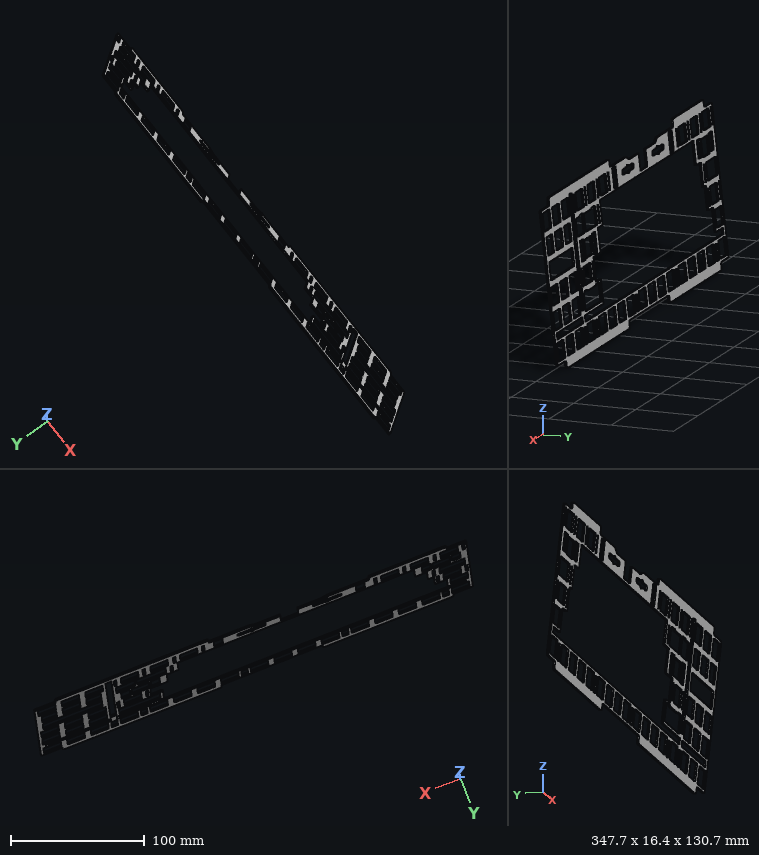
import cadquery as cq

UNIT = 19.05
COLUMNS = 18.25
ROWS = 6.25
THICKNESS = 1.5
TILT = 6.5
WIDTH = COLUMNS * UNIT
HEIGHT = ROWS * UNIT
GAP = 0.25

ROW_FUNCTION = 0.5
ROW_NUMBER = ROW_FUNCTION + 1 + GAP
ROW_Q = ROW_NUMBER + 1
ROW_A = ROW_Q + 1
ROW_Z = ROW_A + 1
ROW_MODIFIER = ROW_Z + 1

ALPHA_RIGHT = 15.0
NAV_LEFT = ALPHA_RIGHT + GAP
NAV_COLUMNS = [NAV_LEFT + 0.5 + i for i in range(3)]
NAV_INNER_LEFT = NAV_LEFT + GAP
NAV_INNER_RIGHT = COLUMNS - GAP
SPACEBAR = 7.5
WIDE_MODIFIERS = [0.75, 3.25, 11.75, 14.25]
NARROW_MODIFIERS = [2.0, 13.0]

FIRST_KEY = 0.5
TAB_KEY = 0.75
CAPS_KEY = 0.875
LEFT_SHIFT = 1.125
BACKSPACE = 14.0
SPLIT_BACKSPACE = [13.5, 14.5]
BACKSLASH = 14.25
ENTER = 13.875
RIGHT_SHIFT = 13.625
SHORT_RIGHT_SHIFT = 13.125
SHIFT_EXTRA_KEY = 14.5

FUNCTION_GROUPS = [1 + GAP, 5 + 2 * GAP, 9 + 3 * GAP]
GROUP_SIZE = 4
LAST_FUNCTION_KEY = ALPHA_RIGHT - 0.5

SWITCH = 14.0
SWITCH_HALF = SWITCH / 2 / UNIT
HOLE_RADIUS = 0.94
SLOT_RADIUS = 0.5
STABILIZER_WIDTH = 7.0
STABILIZER_HEIGHT = 14.0
STABILIZER_SHIFT = 0.9
TALL_STABILIZER_HEIGHT = 15.9
TALL_STABILIZER_SHIFT = 0.1
STABILIZER_SPREAD = 11.938
SPACEBAR_SPREAD = 3 * UNIT
RELIEF_WIDTH = 2.0
RELIEF_OFFSET = 0.608
GAP_SLOT_WIDTH = 5.0
GAP_SLOT_HEIGHT = 12.7

CAPS_HOLE_LEFT = 0.17
FUNCTION_TOP = 1.0
LONG_SLOT_BOTTOM = 1.5
LONG_SLOT_TOP = 6.2

TAB_HEIGHT = 6.135
TAB_RADIUS = 2.0
CORNER_RADIUS = 1.5
RECESS_DEPTH = 3.1
RECESS_HALF_TOP = 1.66 * UNIT
RECESS_HALF_FLOOR = 1.37 * UNIT
TOP_TABS = [(0.83, 4.11), (10.89, 17.35)]
BOTTOM_TABS = [(0.83, 6.35), (10.63, 17.35)]

MOUNT_OFFSET = 1.6 * UNIT
MOUNT_LENGTH = 23.0
MOUNT_WIDTH = 4.0
MOUNT_BULGE = 6.6

OPENING = [
    (2.25, 5.25), (2.25, 4.25), (1.75, 4.25), (1.75, 3.25), (1.5, 3.25), (1.5, 2.25),
    (1.0, 2.25), (1.0, 1.25), (0.25, 1.25), (0.25, 1.0), (15.0, 1.0), (15.0, 1.25),
    (13.0, 1.25), (13.0, 2.25), (13.5, 2.25), (13.5, 3.25), (12.75, 3.25), (12.75, 4.25),
    (12.25, 4.25), (12.25, 5.25),
]


def block(left, right, bottom, top, radius=SLOT_RADIUS):
    """Plate-thick rectangle with rounded corners, edges in mm."""
    solid = cq.Workplane("XY").rect(right - left, top - bottom).extrude(THICKNESS)
    solid = solid.edges("|Z").fillet(radius)
    return solid.translate(((left + right) / 2, (bottom + top) / 2, 0))


def window(left, right, row):
    """Switch-height cutout centred on a row between two key-unit positions."""
    middle = row * UNIT
    return block(left * UNIT, right * UNIT, middle - SWITCH / 2, middle + SWITCH / 2, HOLE_RADIUS)


def switch(column, row):
    return window(column - SWITCH_HALF, column + SWITCH_HALF, row)


def relief(column, row):
    half = RELIEF_WIDTH / 2 / UNIT
    return window(column - half, column + half, row)


def relief_pair(column, row):
    return [relief(column + side * RELIEF_OFFSET, row) for side in (-1, 1)]


def stabilizers(column, row, spread=STABILIZER_SPREAD, shift=STABILIZER_SHIFT, height=STABILIZER_HEIGHT):
    """Pair of stabilizer cutouts around a long key."""
    pair = []
    for side in (-1, 1):
        x = column * UNIT + side * spread
        y = row * UNIT + shift
        half = STABILIZER_WIDTH / 2
        pair.append(block(x - half, x + half, y - height / 2, y + height / 2))
    return pair


def gap_slot(column):
    """Slot between function-row groups, flush with the bottom of the switch holes."""
    bottom = ROW_FUNCTION * UNIT - SWITCH / 2
    half = GAP_SLOT_WIDTH / 2
    return block(column * UNIT - half, column * UNIT + half, bottom, bottom + GAP_SLOT_HEIGHT)


def mounting_slot(x):
    slot = cq.Workplane("XY").slot2D(MOUNT_LENGTH, MOUNT_WIDTH).extrude(THICKNESS)
    bulge = cq.Workplane("XY").circle(MOUNT_BULGE / 2).extrude(THICKNESS)
    return slot.union(bulge).translate((x, ROW_MODIFIER * UNIT, 0))


def tab(ends, base, height):
    """Outline points of one edge tab, from its first end to its second."""
    start, finish = ends[0] * UNIT, ends[1] * UNIT
    return [(start, base), (start, base + height), (finish, base + height), (finish, base)]


def body():
    """Outer outline, counter-clockwise: body, edge tabs and the recess above the space bar."""
    floor = HEIGHT - RECESS_DEPTH
    middle = SPACEBAR * UNIT
    points = [(0, 0)]
    for ends in BOTTOM_TABS:
        points += tab(ends, 0, -TAB_HEIGHT)
    points += [(WIDTH, 0), (WIDTH, HEIGHT)]
    left_tab, right_tab = TOP_TABS
    points += tab(right_tab[::-1], HEIGHT, TAB_HEIGHT)
    points += [(middle + RECESS_HALF_TOP, HEIGHT), (middle + RECESS_HALF_FLOOR, floor)]
    points += [(middle - RECESS_HALF_FLOOR, floor), (middle - RECESS_HALF_TOP, HEIGHT)]
    points += tab(left_tab[::-1], HEIGHT, TAB_HEIGHT)
    points.append((0, HEIGHT))
    outline = cq.Workplane("XY").polyline(points).close().extrude(THICKNESS)
    rounded = outline.edges("|Z and (<X or >X)").fillet(CORNER_RADIUS)
    margin = 2 * CORNER_RADIUS
    inboard = cq.selectors.BoxSelector((margin, -HEIGHT, 0), (WIDTH - margin, 2 * HEIGHT, THICKNESS))
    return rounded.edges(inboard).edges("|Z").fillet(TAB_RADIUS)


def central_opening():
    points = [(x * UNIT, y * UNIT) for x, y in OPENING]
    return cq.Workplane("XY").polyline(points).close().extrude(THICKNESS).edges("|Z").fillet(SLOT_RADIUS)


def function_row():
    columns = [FIRST_KEY, LAST_FUNCTION_KEY] + NAV_COLUMNS
    for start in FUNCTION_GROUPS:
        columns += [start + 0.5 + i for i in range(GROUP_SIZE)]
    cuts = [switch(column, ROW_FUNCTION) for column in columns]
    gap_ends = FUNCTION_GROUPS + [ALPHA_RIGHT - 1, NAV_LEFT]
    return cuts + [gap_slot(end - GAP / 2) for end in gap_ends]


def modifier_row():
    cuts = [switch(column, ROW_MODIFIER) for column in WIDE_MODIFIERS + NARROW_MODIFIERS + NAV_COLUMNS]
    for column in WIDE_MODIFIERS:
        cuts += relief_pair(column, ROW_MODIFIER)
    space_shift = -TALL_STABILIZER_SHIFT
    cuts += stabilizers(SPACEBAR, ROW_MODIFIER, SPACEBAR_SPREAD, space_shift, TALL_STABILIZER_HEIGHT)
    bottom = ROW_MODIFIER * UNIT - SWITCH / 2
    middle = SPACEBAR * UNIT
    cuts.append(block(middle - SWITCH / 2, middle + SWITCH / 2, bottom, HEIGHT + SWITCH, HOLE_RADIUS))
    cuts += [mounting_slot(middle + side * MOUNT_OFFSET) for side in (-1, 1)]
    return cuts


def left_keys():
    cuts = [switch(FIRST_KEY, ROW_NUMBER), switch(TAB_KEY, ROW_Q), switch(LEFT_SHIFT, ROW_Z)]
    cuts += relief_pair(TAB_KEY, ROW_Q)
    cuts.append(window(CAPS_HOLE_LEFT, CAPS_KEY + SWITCH_HALF, ROW_A))
    cuts.append(relief(CAPS_KEY + RELIEF_OFFSET, ROW_A))
    return cuts + stabilizers(LEFT_SHIFT, ROW_Z)


def right_keys():
    first, last = SPLIT_BACKSPACE
    cuts = [window(first - SWITCH_HALF, last + SWITCH_HALF, ROW_NUMBER)]
    cuts += stabilizers(BACKSPACE, ROW_NUMBER)
    cuts.append(switch(BACKSLASH, ROW_Q))
    cuts += relief_pair(BACKSLASH, ROW_Q)
    cuts.append(switch(ENTER, ROW_A))
    cuts += stabilizers(ENTER, ROW_A, STABILIZER_SPREAD, TALL_STABILIZER_SHIFT, TALL_STABILIZER_HEIGHT)
    cuts.append(window(SHORT_RIGHT_SHIFT - SWITCH_HALF, RIGHT_SHIFT + SWITCH_HALF, ROW_Z))
    cuts.append(switch(SHIFT_EXTRA_KEY, ROW_Z))
    cuts.append(relief(SHORT_RIGHT_SHIFT - RELIEF_OFFSET, ROW_Z))
    return cuts + stabilizers(RIGHT_SHIFT, ROW_Z)


def navigation_keys():
    left, centre, right = NAV_COLUMNS
    cuts = [switch(column, row) for row in (ROW_NUMBER, ROW_Q) for column in NAV_COLUMNS]
    cuts.append(window(NAV_INNER_LEFT, NAV_INNER_RIGHT, ROW_A))
    cuts.append(window(NAV_INNER_LEFT, left + SWITCH_HALF, ROW_Z))
    cuts.append(switch(centre, ROW_Z))
    cuts.append(window(right - SWITCH_HALF, NAV_INNER_RIGHT, ROW_Z))
    return cuts


def cluster_slots():
    """Slots that separate the navigation keys from the letters and from the function row."""
    across = block(NAV_LEFT * UNIT, NAV_INNER_RIGHT * UNIT, FUNCTION_TOP * UNIT, (FUNCTION_TOP + GAP) * UNIT)
    upright = block(ALPHA_RIGHT * UNIT, NAV_LEFT * UNIT, LONG_SLOT_BOTTOM * UNIT, LONG_SLOT_TOP * UNIT)
    return [across, upright]


plate = body().cut(central_opening())
key_cutouts = function_row() + modifier_row() + left_keys() + right_keys() + navigation_keys()
for cutout in key_cutouts + cluster_slots():
    plate = plate.cut(cutout)

plate = plate.translate((-WIDTH / 2, -HEIGHT / 2, -THICKNESS / 2))
result = plate.rotate((0, 0, 0), (1, 0, 0), 90 + TILT)